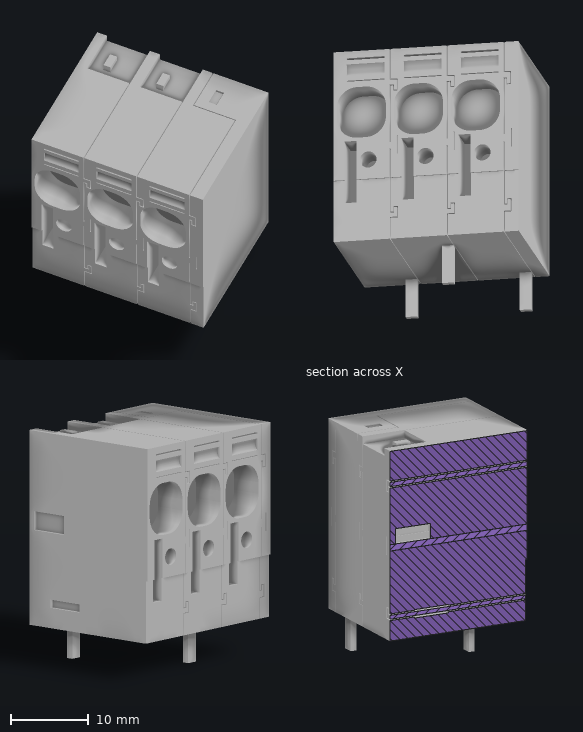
import cadquery as cq
import math


pole_count = 3
pitch = 7.5
pole_gap = 0.12
housing_width = pitch - pole_gap
plate_left = pole_count * pitch
plate_thickness = 1.83
block_width = plate_left + plate_thickness
depth = 20.05
height = 25.52

step_height = 8.2
step_depth = 0.25

socket_depth = 4.13
wire_width = 6.45
wire_height = 6.8
wire_radius = 2.65
wire_x = housing_width / 2
wire_z = 17.25
test_diameter = 2.17
test_x = 4.58
test_z = 10.8
slot_left = 1.45
slot_width = 1.6
slot_bottom = 5.15
slot_height = 8.22

window_left = 1.75
window_width = 4.95
window_bottom = 21.45
window_height = 3.15
window_depth = 2.45
lever_gap_below = 0.12
lever_gap_above = 0.25
finger_groove_middle = 23.07
finger_groove_below = 0.83
finger_groove_above = 0.7
finger_groove_depth = 0.4

recess_left = 1.4
recess_length = 6.08
recess_depth = 1.0
peg_left = 3.03
peg_width = 1.0
peg_from_back = 2.57
peg_length = 2.1
peg_height = 0.85
peg_front_taper = 0.1

side_pocket_depth = 0.5
side_pockets = [
    (0.83, 5.07, 12.5, 2.48),
    (3.65, 4.85, 2.65, 1.07),
]

pin_length = 5.05
pin_width = 1.53
pin_thickness = 0.85
rear_pin_from_back = 1.4
front_pin_from_back = 14.65

UPPER, MIDDLE, LOWER = "upper", "middle", "lower"
pole_latches = {
    UPPER: (20.72, 21.35, 20.0, 21.35, 7.95, 8.3),
    MIDDLE: (12.07, 13.0, 11.37, 13.8, 7.85, 8.3),
    LOWER: (2.93, 3.5, 2.93, 4.25, 7.95, 8.3),
}
end_latches = {
    UPPER: (20.72, 21.42, 19.9, 21.42, 7.85, 8.22),
    MIDDLE: (12.07, 13.1, 11.37, 13.8, 7.98, 8.35),
    LOWER: (2.8, 3.65, 2.8, 4.35, 7.85, 8.22),
}
hook_clearance = 0.12

arm_clearance = 0.12


def box(x, y, z, length_x, length_y, length_z):
    return cq.Workplane("XY").box(length_x, length_y, length_z, centered=False).translate((x, y, z))


def front_step():
    return box(0, 0, 0, block_width, step_depth, step_height)


def latch_hook(latch):
    """Full-depth hook that grows out of the right side of a housing."""
    stem_bottom, stem_top, head_bottom, head_top, head_left, head_right = latch
    stem = box(housing_width, 0, stem_bottom, head_right - housing_width, depth, stem_top - stem_bottom)
    head = box(head_left, 0, head_bottom, head_right - head_left, depth, head_top - head_bottom)
    return stem.union(head)


def latch_groove(name, latch):
    """Groove for a hook. The T-shaped middle hook has play only at its end, the others all round."""
    stem_bottom, stem_top, head_bottom, head_top, head_left, head_right = latch
    play = 0 if name == MIDDLE else hook_clearance
    grown = (
        stem_bottom - play,
        stem_top + play,
        head_bottom - play,
        head_top + play,
        head_left - play,
        head_right + hook_clearance,
    )
    return latch_hook(grown)


def wire_entry():
    return (
        box(wire_x - wire_width / 2, 0, wire_z - wire_height / 2, wire_width, socket_depth, wire_height)
        .edges("|Y")
        .fillet(wire_radius)
    )


def test_hole():
    profile = cq.Workplane("XZ").center(test_x, test_z).circle(test_diameter / 2)
    return profile.extrude(-socket_depth)


def window():
    return box(window_left, 0, window_bottom, window_width, window_depth, window_height)


def peg():
    floor = height - recess_depth
    back = depth - peg_from_back
    front = back - peg_length
    side = [
        (front, floor),
        (back, floor),
        (back, floor + peg_height),
        (front + peg_front_taper, floor + peg_height),
    ]
    return cq.Workplane("YZ").polyline(side).close().extrude(peg_width).translate((peg_left, 0, 0))


def make_housing(index):
    is_first = index == 0
    is_last = index == pole_count - 1
    body = box(0, 0, 0, housing_width, depth, height)

    body = body.cut(wire_entry()).cut(test_hole()).cut(window())
    body = body.cut(box(slot_left, 0, slot_bottom, slot_width, socket_depth, slot_height))

    recess = box(
        recess_left,
        depth - recess_length,
        height - recess_depth,
        housing_width - recess_left,
        recess_length,
        recess_depth,
    )
    body = body.cut(recess).union(peg())

    for from_back, length, bottom, pocket_height in side_pockets:
        front = depth - from_back - length
        body = body.cut(box(0, front, bottom, side_pocket_depth, length, pocket_height))

    if not is_first:
        for name, latch in pole_latches.items():
            body = body.cut(latch_groove(name, latch).translate((-pitch, 0, 0)))

    latches = end_latches if is_last else pole_latches
    for latch in latches.values():
        body = body.union(latch_hook(latch))

    body = body.cut(front_step())

    from_back = rear_pin_from_back if index % 2 == 0 else front_pin_from_back
    pin_front = depth - from_back - pin_thickness
    body = body.union(
        box(housing_width - pin_width, pin_front, -pin_length, pin_width, pin_thickness, pin_length)
    )
    return body.translate((index * pitch, 0, 0))


def groove_arc_point(rise):
    """Midpoint of the arc from the deepest line of the finger groove to its edge at the given rise."""
    radius = (rise**2 + finger_groove_depth**2) / (2 * finger_groove_depth)
    half_angle = math.asin(rise / radius) / 2
    arc_depth = finger_groove_depth - radius * (1 - math.cos(half_angle))
    return arc_depth, finger_groove_middle + radius * math.sin(half_angle)


def make_lever(index):
    """Bar filling the width of a window, with a hollow finger groove across its front."""
    bottom = window_bottom + lever_gap_below
    lever_height = window_height - lever_gap_below - lever_gap_above
    bar = box(window_left, 0, bottom, window_width, window_depth, lever_height)
    lower_end = finger_groove_middle - finger_groove_below
    upper_end = finger_groove_middle + finger_groove_above
    groove = (
        cq.Workplane("YZ")
        .moveTo(0, lower_end)
        .threePointArc(groove_arc_point(-finger_groove_below), (finger_groove_depth, finger_groove_middle))
        .threePointArc(groove_arc_point(finger_groove_above), (0, upper_end))
        .close()
        .extrude(window_width)
        .translate((window_left, 0, 0))
    )
    return bar.cut(groove).translate((index * pitch, 0, 0))


def make_end_plate():
    last_pole = (pole_count - 1) * pitch
    plate = box(plate_left, 0, 0, plate_thickness, depth, height)

    arm_left = last_pole + recess_left + arm_clearance
    arm_length = recess_length - arm_clearance
    arm = box(
        arm_left,
        depth - arm_length,
        height - recess_depth,
        plate_left - arm_left,
        arm_length,
        recess_depth,
    )
    peg_opening = box(
        last_pole + peg_left,
        depth - peg_from_back - peg_length,
        height - recess_depth,
        peg_width + arm_clearance,
        peg_length + arm_clearance,
        recess_depth,
    )
    plate = plate.union(arm).cut(peg_opening)

    for name, latch in end_latches.items():
        plate = plate.cut(latch_groove(name, latch).translate((last_pole, 0, 0)))
    return plate.cut(front_step())


housings = [make_housing(index).val() for index in range(pole_count)]
levers = [make_lever(index).val() for index in range(pole_count)]
end_plate = make_end_plate().val()

result = cq.Compound.makeCompound([*housings, *levers, end_plate])